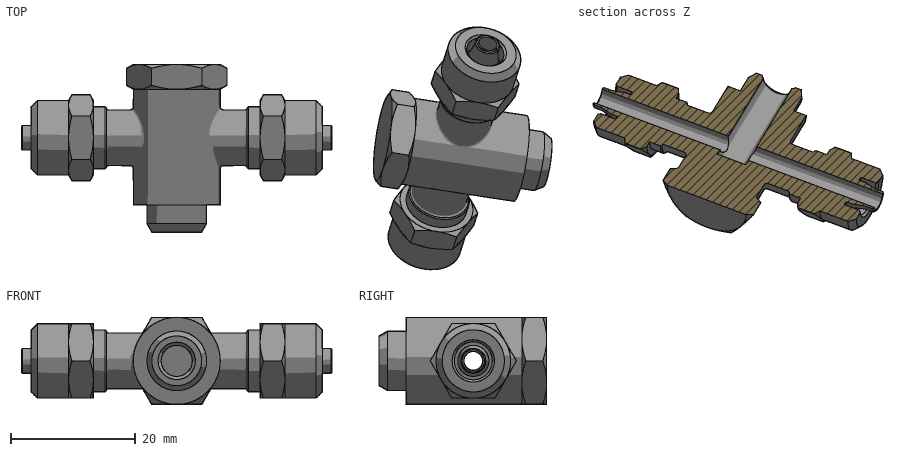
import cadquery as cq
import math

body_radius = 7.0
body_front_y = -9.0
body_back_y = 6.0
washer_thickness = 1.8
head_flats = 14.0
head_thickness = 4.0
bolt_length = 27.0
hex_chamfer_angle = 30.0
hex_half_angle = 30.0

washer_front_y = body_front_y - washer_thickness
washer_back_y = body_back_y + washer_thickness
head_back_y = washer_back_y + head_thickness
stem_end_y = head_back_y - bolt_length

stem_radius = 4.8
stem_end_radius = 4.0
stem_chamfer_length = 1.4
bolt_bore_radius = 2.5
bolt_bore_mouth_radius = 3.0
bolt_bore_end_y = 2.5

arm_radius = 4.5
arm_fillet = 0.5
collar_radius = 5.0
collar_start_x = 11.0
collar_fillet = 0.3
arm_bore_radius = 1.5

nut_start_x = 13.4
nut_length = 10.0
nut_hex_length = 4.0
nut_flats = 12.0
nut_chamfer = 1.0
nut_mouth_radius = 3.4
nut_hole_radius = 3.05
nut_hole_depth = 3.0
nut_end_x = nut_start_x + nut_length

barb_end_x = 25.0
barb_radius = 2.0
barb_root_radius = 2.5
barb_tip_chamfer = 0.2
barb_cone_start_x = nut_end_x
barb_cone_length = 2.0


def cylinder_x(radius, start, end):
    return cq.Workplane("YZ", origin=(start, 0, 0)).circle(radius).extrude(end - start)


def cylinder_y(radius, start, end):
    return cq.Workplane("XZ", origin=(0, start, 0)).circle(radius).extrude(start - end)


def revolve_x(profile):
    """Solid of revolution about X from (x, radius) points."""
    return cq.Workplane("XY").polyline(profile).close().revolve(360, (0, 0, 0), (1, 0, 0))


def revolve_y(profile):
    """Solid of revolution about Y from (radius, y) points."""
    return cq.Workplane("XY").polyline(profile).close().revolve(360, (0, 0, 0), (0, 1, 0))


def hex_prism(flats, length):
    """Hexagon along Z from the origin, corners on local X, both faces turned to a chamfer cone."""
    face_radius = flats / 2
    corner_radius = face_radius / math.cos(math.radians(hex_half_angle))
    rise = (corner_radius - face_radius) * math.tan(math.radians(hex_chamfer_angle))
    prism = cq.Workplane("XY").polygon(6, 2 * corner_radius).extrude(length)
    profile = [
        (0, 0),
        (face_radius, 0),
        (corner_radius, rise),
        (corner_radius, length - rise),
        (face_radius, length),
        (0, length),
    ]
    envelope = cq.Workplane("XZ").polyline(profile).close().revolve(360, (0, 0, 0), (0, 1, 0))
    return prism.intersect(envelope)


def make_body():
    body = cylinder_y(body_radius, washer_front_y, washer_back_y)
    for side in (1, -1):
        body = body.union(cylinder_x(arm_radius, 0, side * nut_start_x))
    return body.edges("not(%LINE or %CIRCLE)").fillet(arm_fillet)


def make_bolt():
    head = hex_prism(head_flats, head_thickness).rotate((0, 0, 0), (1, 0, 0), -90)
    head = head.translate((0, washer_back_y, 0))
    stem = revolve_y([
        (0, washer_front_y),
        (stem_radius, washer_front_y),
        (stem_radius, stem_end_y + stem_chamfer_length),
        (stem_end_radius, stem_end_y),
        (0, stem_end_y),
    ])
    return head.union(stem)


def make_bolt_bore():
    mouth_depth = bolt_bore_mouth_radius - bolt_bore_radius
    return revolve_y([
        (0, stem_end_y),
        (bolt_bore_mouth_radius, stem_end_y),
        (bolt_bore_radius, stem_end_y + mouth_depth),
        (bolt_bore_radius, bolt_bore_end_y),
        (0, bolt_bore_end_y),
    ])


def make_arm_end():
    """Collar, nut and barb of the +X arm."""
    face_x = collar_start_x + collar_fillet
    face_radius = arm_radius + collar_fillet
    collar_chamfer = collar_radius - face_radius
    arc_offset = collar_fillet * (1 - math.cos(math.radians(45)))
    collar = (
        cq.Workplane("XY")
        .moveTo(collar_start_x, 0)
        .lineTo(collar_start_x, arm_radius)
        .threePointArc((face_x - arc_offset, arm_radius + arc_offset), (face_x, face_radius))
        .lineTo(face_x + collar_chamfer, collar_radius)
        .lineTo(nut_start_x, collar_radius)
        .lineTo(nut_start_x, 0)
        .close()
        .revolve(360, (0, 0, 0), (1, 0, 0))
    )
    nut_hex = hex_prism(nut_flats, nut_hex_length).rotate((0, 0, 0), (0, 0, 1), 90)
    nut_hex = nut_hex.rotate((0, 0, 0), (0, 1, 0), 90).translate((nut_start_x, 0, 0))
    nut = cylinder_x(nut_flats / 2, nut_start_x + nut_hex_length, nut_end_x)
    nut = nut.faces(">X").chamfer(nut_chamfer)
    hole_floor_x = nut_end_x - nut_hole_depth
    mouth_depth = nut_mouth_radius - nut_hole_radius
    hole = revolve_x([
        (hole_floor_x, 0),
        (hole_floor_x, nut_hole_radius),
        (nut_end_x - mouth_depth, nut_hole_radius),
        (nut_end_x, nut_mouth_radius),
        (nut_end_x, 0),
    ])
    barb = revolve_x([
        (hole_floor_x, 0),
        (hole_floor_x, barb_root_radius),
        (barb_cone_start_x - barb_cone_length, barb_root_radius),
        (barb_cone_start_x, barb_radius),
        (barb_end_x - barb_tip_chamfer, barb_radius),
        (barb_end_x, barb_radius - barb_tip_chamfer),
        (barb_end_x, 0),
    ])
    return collar.union(nut_hex).union(nut.cut(hole)).union(barb)


arm_end = make_arm_end()
result = make_body().union(make_bolt())
result = result.union(arm_end).union(arm_end.mirror("YZ"))
result = result.cut(make_bolt_bore()).cut(cylinder_x(arm_bore_radius, -barb_end_x, barb_end_x))